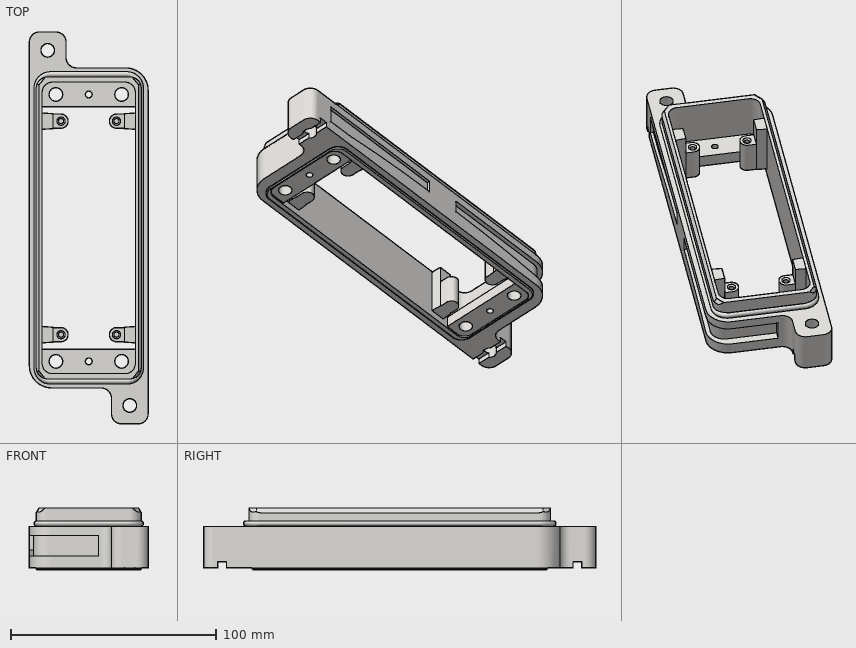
import cadquery as cq
import math

total_height = 30.3
lip_height = 1.0
body_height = 20.3
body_top = lip_height + body_height

body_width = 58.0
body_length = 156.0
overall_length = 191.0
body_corner_radius = 11.0
half_width = body_width / 2
half_length = body_length / 2
half_overall = overall_length / 2

ear_width = 18.0
ear_radius = 5.0
ear_root_length = 20.0
ear_inner_x = half_width - ear_width
ear_hole_x = half_width - ear_width / 2
ear_hole_y = half_overall - ear_width / 2
mounting_hole_diameter = 6.5
ear_slot_width = 4.2
ear_slot_height = 3.0

lip_width = 51.5
lip_length = 144.0
lip_corner_radius = 6.0
lip_chamfer = 0.6

bead_radius = 1.35
bead_centre_z = body_top + bead_radius
bead_path_width = 50.6
bead_path_length = 149.5
bead_path_radius = 6.7
rim_width = 51.2
rim_length = 147.0
rim_corner_radius = 5.5
rim_bevel_width = 1.4
rim_bevel_height = 2.4
rim_corner_bevel_width = 3.0
rim_corner_bevel_length = 3.8
corner_bevel_reach = 2.5

cavity_width = 45.4
cavity_length = 142.0
cavity_corner_radius = 5.0
half_cavity = cavity_width / 2
shelf_top = 7.3
opening_length = 118.0
shelf_hole_x = 16.0
shelf_hole_y = 65.0
shelf_pin_hole_diameter = 3.2

post_x = 13.5
post_y = 52.0
post_radius = 3.5
post_bottom = 4.0
post_top = 20.4
screw_hole_diameter = 2.5
screw_hole_depth = 10.0
countersink_diameter = 4.0
countersink_angle = 90.0
rib_inner_x = 17.5
rib_root_width = 8.2
rib_tip_width = 7.4
rib_top = 30.0
wall_overlap = 1.0

recess_top = 16.7
recess_low = 6.8
recess_high = 9.7
recess_curve_run = 58.0
plain_recess_depth = 1.5
side_recess_depth = 2.2
end_recess_depth = 4.0
recess_corner_radius = body_corner_radius - end_recess_depth
plain_recess_start_y = 10.0
plain_recess_end_y = 81.2
wrapped_recess_start_y = -9.0
wrapped_recess_end_x = 4.8

OPPOSITE_ENDS = (1, -1)


def rounded_block(width, length, bottom, top, radius):
    block = cq.Workplane("XY").workplane(offset=bottom).rect(width, length).extrude(top - bottom)
    return block.edges("|Z").fillet(radius)


def vertical_hole(x, y, diameter):
    return cq.Workplane("XY").center(x, y).circle(diameter / 2).extrude(total_height)


def make_ear(end):
    """Ear outline block at one end, with its two outer corners rounded; end is the sign of its Y."""
    ear_length = half_overall - half_length + ear_root_length
    ear = (
        cq.Workplane("XY").workplane(offset=lip_height)
        .center(-end * ear_hole_x, end * (half_overall - ear_length / 2))
        .rect(ear_width, ear_length).extrude(body_height)
    )
    outer_face = ">Y" if end > 0 else "<Y"
    return ear.faces(outer_face).edges("|Z").fillet(ear_radius)


def make_body():
    """Main block with two rounded corners, two ears and a fillet where each ear meets an end."""
    body = (
        cq.Workplane("XY").workplane(offset=lip_height)
        .rect(body_width, body_length).extrude(body_height)
    )
    body = body.edges("|Z").edges(">(1, 1, 0) or <(1, 1, 0)").fillet(body_corner_radius)
    for end in OPPOSITE_ENDS:
        body = body.union(make_ear(end))
    body = body.clean()
    for end in OPPOSITE_ENDS:
        ear_root = cq.selectors.NearestToPointSelector(
            (-end * ear_inner_x, end * half_length, lip_height + body_height / 2)
        )
        body = body.edges("|Z").edges(ear_root).fillet(ear_radius)
    return body


def make_lip():
    lip = rounded_block(lip_width, lip_length, 0, lip_height, lip_corner_radius)
    return lip.faces("<Z").edges().chamfer(lip_chamfer)


def make_seal_bead():
    """Round bead resting on the body and running all the way round the rim."""
    path = rounded_block(bead_path_width, bead_path_length, 0, bead_centre_z, bead_path_radius)
    path_wire = path.faces(">Z").wires().val()
    section = cq.Workplane("XZ", origin=(bead_path_width / 2, 0, bead_centre_z)).circle(bead_radius)
    return section.sweep(cq.Workplane(obj=path_wire))


def make_rim():
    """Rim block bevelled along the top of its long sides and corners; its ends stay upright."""
    rim = rounded_block(rim_width, rim_length, body_top, total_height, rim_corner_radius)
    top_x = rim_width / 2 - rim_bevel_width
    corner_start_y = rim_length / 2 - rim_corner_bevel_length
    outer_x = top_x - rim_corner_bevel_width * corner_bevel_reach
    outer_y = corner_start_y + rim_corner_bevel_length * corner_bevel_reach
    bevel_outline = [
        (top_x, -corner_start_y),
        (top_x, corner_start_y),
        (outer_x, outer_y),
        (-outer_x, outer_y),
        (-top_x, corner_start_y),
        (-top_x, -corner_start_y),
        (-outer_x, -outer_y),
        (outer_x, -outer_y),
    ]
    bevel_angle = math.degrees(math.atan2(rim_bevel_width, rim_bevel_height))
    bevelled_top = (
        cq.Workplane("XY").polyline(bevel_outline).close()
        .extrude(rim_bevel_height, taper=-bevel_angle)
        .mirror("XY").translate((0, 0, total_height))
    )
    plain_part = cq.Workplane("XY").rect(body_width, body_length).extrude(total_height - rim_bevel_height)
    return rim.intersect(plain_part.union(bevelled_top))


def make_cavity():
    """Space inside the walls: above the shelves, between them and the shallow hollow below them."""
    upper = rounded_block(cavity_width, cavity_length, shelf_top, total_height, cavity_corner_radius)
    opening = cq.Workplane("XY").rect(cavity_width, opening_length).extrude(total_height)
    underside = rounded_block(cavity_width, cavity_length, 0, lip_height, cavity_corner_radius)
    return upper.union(opening).union(underside)


def make_post(side, end):
    """Screw post with its rib; side and end are the signs of its X and Y position."""
    wall_x = half_cavity + wall_overlap
    rib_outline = [
        (wall_x, post_y - rib_root_width / 2),
        (wall_x, post_y + rib_root_width / 2),
        (rib_inner_x, post_y + rib_tip_width / 2),
        (rib_inner_x, post_y - rib_tip_width / 2),
    ]
    rib = (
        cq.Workplane("XY").workplane(offset=post_bottom)
        .polyline(rib_outline).close().extrude(rib_top - post_bottom)
    )
    web = (
        cq.Workplane("XY").workplane(offset=post_bottom)
        .center((post_x + wall_x) / 2, post_y)
        .rect(wall_x - post_x, 2 * post_radius).extrude(post_top - post_bottom)
    )
    column = (
        cq.Workplane("XY").workplane(offset=post_bottom)
        .center(post_x, post_y).circle(post_radius).extrude(post_top - post_bottom)
    )
    post = (
        web.union(column).union(rib)
        .copyWorkplane(cq.Workplane("XY", origin=(post_x, post_y, post_top)))
        .cskHole(screw_hole_diameter, countersink_diameter, countersink_angle, screw_hole_depth)
    )
    if side < 0:
        post = post.mirror("YZ")
    if end < 0:
        post = post.mirror("XZ")
    return post


def make_recess(start_y, curve_end_y, end_y, depth):
    """Cut into the -X face; its lower edge starts level, curves down and then runs level again."""
    run = abs(curve_end_y - start_y)
    drop = recess_high - recess_low
    curve_radius = (run**2 + drop**2) / (2 * drop)
    mid_drop = curve_radius - math.sqrt(curve_radius**2 - (run / 2) ** 2)
    mid_point = ((start_y + curve_end_y) / 2, recess_high - mid_drop)
    return (
        cq.Workplane("YZ", origin=(-half_width, 0, 0))
        .moveTo(start_y, recess_high)
        .threePointArc(mid_point, (curve_end_y, recess_low))
        .lineTo(end_y, recess_low)
        .lineTo(end_y, recess_top)
        .lineTo(start_y, recess_top)
        .close().extrude(depth)
    )


def make_wrapped_recess():
    """Recess running along the -X face and round the corner onto the -Y face."""
    along_side = make_recess(
        wrapped_recess_start_y,
        wrapped_recess_start_y - recess_curve_run,
        -half_length,
        half_width + wrapped_recess_end_x,
    )
    core = (
        cq.Workplane("XY")
        .center(side_recess_depth, end_recess_depth)
        .rect(body_width, body_length).extrude(total_height)
        .edges("|Z").edges("<(1, 1, 0)").fillet(recess_corner_radius)
    )
    return along_side.cut(core)


def make_ear_slot(end):
    return cq.Workplane("XY").box(
        ear_width, ear_slot_width, ear_slot_height, centered=(True, True, False)
    ).translate((-end * ear_hole_x, end * ear_hole_y, lip_height))


result = make_body().union(make_lip()).union(make_seal_bead()).union(make_rim()).cut(make_cavity())
for end in OPPOSITE_ENDS:
    result = result.cut(vertical_hole(-end * ear_hole_x, end * ear_hole_y, mounting_hole_diameter))
    result = result.cut(make_ear_slot(end))
    result = result.cut(vertical_hole(0, end * shelf_hole_y, shelf_pin_hole_diameter))
    for side in OPPOSITE_ENDS:
        result = result.cut(vertical_hole(side * shelf_hole_x, end * shelf_hole_y, mounting_hole_diameter))
        result = result.union(make_post(side, end))
result = result.cut(
    make_recess(
        plain_recess_start_y,
        plain_recess_start_y + recess_curve_run,
        plain_recess_end_y,
        plain_recess_depth,
    )
)
result = result.cut(make_wrapped_recess())